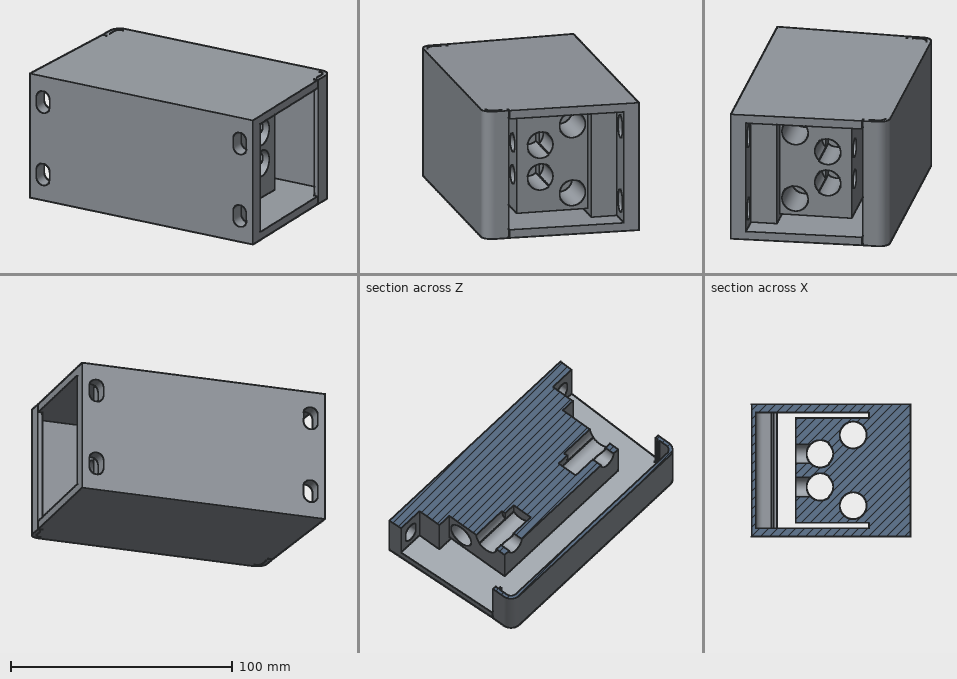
import cadquery as cq
import math

LENGTH = 118.0
DEPTH = 72.0
HEIGHT = 60.0
TAPER_ANGLE = 2.0
CORNER_RADIUS = 5.0

PLATE = 3.9
FRONT_WALL = 7.0
CAVITY_HEIGHT = HEIGHT - 2 * PLATE
COVER_WALL = 2.0

COVER_GAP = 0.18
SLIT_START = 60.0
FLANGE_START = 60.4
SLIT_DEPTH = 2.1
LIP_REACH = 3.1
LIP_RADIUS = 1.8
LIP_DEPTH = 2.6

SLOT_WIDTH = 7.0
SLOT_HEIGHT = 10.5
SLOT_SPACING_X = 104.1
SLOT_SPACING_Z = 34.9

BASE_LENGTH = 92.0
BASE_REAR = 18.9
BODY_LENGTH = 78.4
BODY_REAR = 52.0
BODY_HEIGHT = 47.5

OUTER_SOCKET_RADIUS = 6.0
OUTER_SOCKET_Y = 26.0
OUTER_SOCKET_SPACING = 32.0
INNER_SOCKET_RADIUS = 6.1
INNER_SOCKET_Y = 40.8
INNER_SOCKET_SPACING = 15.0
SOCKET_DEPTH = 23.6
LEDGE_Y = 36.9
LEDGE_RADIUS = 5.8
LEDGE_DEPTH = 17.7

SCREW_RADIUS = 4.2
SCREW_INSET = 7.5

REAR_HALF_LENGTH = LENGTH / 2 - SLIT_START * math.tan(math.radians(TAPER_ANGLE))


def box(length, y_start, y_end, height):
    """Block centred on X and Z between two depths."""
    return cq.Workplane("XY").box(length, y_end - y_start, height).translate((0, (y_start + y_end) / 2, 0))


def cover_core(inset, height):
    """Block with rounded rear corners, moved inwards by inset from the outside of the cover."""
    core = box(2 * (REAR_HALF_LENGTH - inset), 0, DEPTH - inset, height)
    return core.edges("|Z and >Y").fillet(CORNER_RADIUS - inset)


def make_shell():
    """Front wall, plates and rear cover around a cavity that is open at both ends."""
    corners = [
        (-LENGTH / 2, 0),
        (LENGTH / 2, 0),
        (REAR_HALF_LENGTH, SLIT_START),
        (-REAR_HALF_LENGTH, SLIT_START),
    ]
    tapered_part = cq.Workplane("XY").polyline(corners).close().extrude(HEIGHT / 2, both=True)
    shell = tapered_part.union(cover_core(0, HEIGHT))
    cavity = cover_core(COVER_WALL, CAVITY_HEIGHT)
    window = box(LENGTH, FRONT_WALL, FLANGE_START, CAVITY_HEIGHT)
    front_wall = box(LENGTH, 0, FRONT_WALL, HEIGHT)
    return shell.cut(cavity.cut(front_wall)).cut(window)


def make_cover_gaps():
    """Thin gaps inside the two rear corners, from the lips to the straight rear of the cover."""
    gap = cover_core(COVER_WALL, HEIGHT).cut(cover_core(COVER_WALL + COVER_GAP, HEIGHT))
    lip_end = FLANGE_START + LIP_DEPTH
    straight_rear = 2 * (REAR_HALF_LENGTH - CORNER_RADIUS)
    return gap.cut(box(LENGTH, 0, lip_end, HEIGHT)).cut(box(straight_rear, 0, DEPTH, HEIGHT))


def make_slits():
    """Slits that part the flange ends from the tapered sides."""
    slits = box(LENGTH, SLIT_START, FLANGE_START, HEIGHT)
    return slits.cut(box(2 * (REAR_HALF_LENGTH - SLIT_DEPTH), 0, DEPTH, HEIGHT))


def make_lip(side):
    """Lip with a rounded inner edge along one flange end; side is -1 or 1."""
    outer = REAR_HALF_LENGTH
    inner = REAR_HALF_LENGTH - LIP_REACH
    lip = (
        cq.Workplane("XY")
        .moveTo(side * outer, FLANGE_START)
        .lineTo(side * (inner + LIP_RADIUS), FLANGE_START)
        .radiusArc((side * inner, FLANGE_START + LIP_RADIUS), side * -LIP_RADIUS)
        .lineTo(side * inner, FLANGE_START + LIP_DEPTH)
        .lineTo(side * outer, FLANGE_START + LIP_DEPTH)
        .close()
    )
    return lip.extrude(CAVITY_HEIGHT / 2, both=True)


def make_strap_slots():
    """Four upright rounded slots through the front wall."""
    return (
        cq.Workplane("XZ")
        .rarray(SLOT_SPACING_X, SLOT_SPACING_Z, 2, 2)
        .slot2D(SLOT_HEIGHT, SLOT_WIDTH, 90)
        .extrude(-FRONT_WALL)
    )


def make_sockets(y, spacing, radius, depth):
    """Two round blind holes, one above the other, in each end of the block body."""
    end = BODY_LENGTH / 2
    centres = [(y, -spacing / 2), (y, spacing / 2)]
    rods = cq.Workplane("YZ").pushPoints(centres).circle(radius).extrude(end, both=True)
    return rods.cut(box(BODY_LENGTH - 2 * depth, 0, DEPTH, HEIGHT))


def make_screw_holes():
    """Holes along Y from the rear of the block to the middle of each inner socket."""
    return (
        cq.Workplane("XZ", origin=(0, INNER_SOCKET_Y, 0))
        .rarray(BODY_LENGTH - 2 * SCREW_INSET, INNER_SOCKET_SPACING, 2, 2)
        .circle(SCREW_RADIUS)
        .extrude(INNER_SOCKET_Y - BODY_REAR)
    )


def make_block():
    """Inner block with its sockets and screw holes."""
    base = box(BASE_LENGTH, FRONT_WALL, BASE_REAR, CAVITY_HEIGHT)
    block = base.union(box(BODY_LENGTH, FRONT_WALL, BODY_REAR, BODY_HEIGHT))
    deep = make_sockets(INNER_SOCKET_Y, INNER_SOCKET_SPACING, INNER_SOCKET_RADIUS, SOCKET_DEPTH)
    deep = deep.cut(box(LENGTH, 0, LEDGE_Y, HEIGHT))
    shallow = make_sockets(INNER_SOCKET_Y, INNER_SOCKET_SPACING, LEDGE_RADIUS, LEDGE_DEPTH)
    outer = make_sockets(OUTER_SOCKET_Y, OUTER_SOCKET_SPACING, OUTER_SOCKET_RADIUS, SOCKET_DEPTH)
    return block.cut(deep).cut(shallow).cut(outer).cut(make_screw_holes())


result = make_shell().cut(make_cover_gaps()).cut(make_slits())
for lip_side in (-1, 1):
    result = result.union(make_lip(lip_side))
result = result.cut(make_strap_slots()).union(make_block())